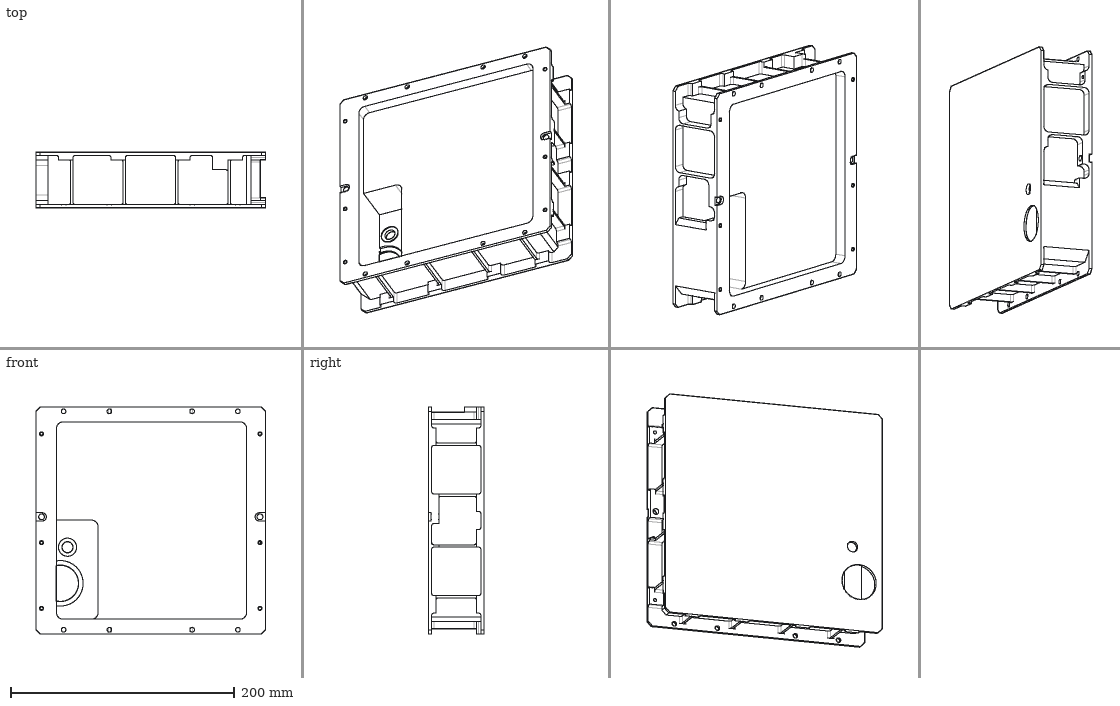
import cadquery as cq

LENGTH = 205.8
THICKNESS = 49.8
HEIGHT = 203.3
HALF_X = LENGTH / 2
HALF_Y = THICKNESS / 2
HALF_Z = HEIGHT / 2
CORNER_CHAMFER = 4.0
OUT_X = HALF_X + 10.3
OUT_Z = HALF_Z + 10.3

FLANGE = 2.9
FLANGE_Y = HALF_Y - FLANGE
PAD_Y = 18.1
PAD_REACH = 11.0
RIB = 2.0
HALF_RIB = RIB / 2
RIB_PITCH_X = 47.0
RIB_PITCH_Z = 45.5
RIB_X_INNER = RIB_PITCH_X / 2
RIB_X_OUTER = 3 * RIB_PITCH_X / 2
RIB_Z_INNER = RIB_PITCH_Z / 2
RIB_Z_OUTER = 3 * RIB_PITCH_Z / 2
RIB_SHIFT_X = -0.2
FULL_Y = (-FLANGE_Y, FLANGE_Y)
UNDER_PAD_Y = (-FLANGE_Y, PAD_Y)
BETWEEN_PADS_Y = (-PAD_Y, PAD_Y)

BAY_FLOOR_Z = 90.3
BAY_FLOOR_X = 90.0
BAY_RADIUS = 2.0
RIB_TOP_Z = 97.0
RIB_TOP_X = 98.2
BAY_CORNER_BEVEL = 4.1
RIGHT_PAD_REACH = 13.5

BLOCK_WIDTH = 13.8
BLOCK_Y = 9.3

RECESS_FLOOR_X = -92.0
RECESS_RADIUS = 5.0
UPPER_FRONT_PAD_Z = 82.3
SLOT_PAD_Y = -15.6
SLOT_PAD_Z = -2.7
LOWER_SHELF_Z = -15.6
LOWER_RECESS_Y = -12.5
LOWER_RECESS_Z = -19.5
RECESS_BEVEL = 5.1
BOTTOM_BEVEL_Z = -81.0

CAVITY_X = (-84.4, 85.8)
CAVITY_Z = (-88.3, 88.3)
CAVITY_DEPTH = 10.5
CAVITY_RADIUS = 6.0
DEEP_X_MAX = -47.1
DEEP_Z_MAX = 0.5
DEEP_FLOOR_Y = HALF_Y - 4.0

LARGE_PORT = (-80.9, -56.2)
LARGE_PORT_D = 32.3
LARGE_RING_D = 40.7
LARGE_RING_DEPTH = 2.0
SMALL_PORT = (-74.5, -23.9)
SMALL_PORT_D = 9.7
SMALL_RING_D = 16.3
SMALL_RING_DEPTH = 0.8

EDGE_HOLE_D = 4.1
EDGE_HOLE_X = (37.0, 78.0)
EDGE_HOLE_Z = 97.7
SIDE_X = 97.7
SIDE_HOLE_D = 2.7
SIDE_HOLE_MOUTH_D = 3.5
SIDE_HOLE_MOUTH_DEPTH = 0.5
SIDE_HOLE_Z = (-78.6, -19.8, 77.5)
SLOT_Z = 3.3
SLOT_WIDTH = 7.5
SLOT_DEPTH = 2.5
SLOT_CENTRE_X = 97.1
SLOT_HOLE_D = 5.1


def box(xs, ys, zs):
    """Box between the given (low, high) limits."""
    size = (xs[1] - xs[0], ys[1] - ys[0], zs[1] - zs[0])
    return cq.Workplane("XY").box(*size, centered=False).translate((xs[0], ys[0], zs[0]))


def rounded_box(xs, ys, zs, axis, radius):
    """Box with its four edges along the given axis rounded."""
    return box(xs, ys, zs).edges("|" + axis).fillet(radius)


def joined(solids):
    """Union of a list of solids."""
    total = solids[0]
    for solid in solids[1:]:
        total = total.union(solid)
    return total


def on_side(side, low, high):
    """Limits kept for side 1, mirrored about zero for side -1."""
    return (low, high) if side > 0 else (-high, -low)


def prism(points, ys):
    """Outline in X and Z extended between the given Y limits."""
    outline = cq.Workplane("XZ", origin=(0, ys[1], 0)).polyline(points).close()
    return outline.extrude(ys[1] - ys[0])


def cylinder(x, z, diameter, y_start, y_end):
    """Cylinder along Y."""
    return cq.Workplane("XZ", origin=(x, y_start, z)).circle(diameter / 2).extrude(y_start - y_end)


def edge_bays(has_block):
    """Five bays along the top side; pads sit beside the ribs and the end bays are open."""
    zs = (BAY_FLOOR_Z, OUT_Z)
    near = RIB_X_INNER + HALF_RIB
    far = RIB_X_OUTER - HALF_RIB
    end = RIB_X_OUTER + HALF_RIB
    block_start = far - BLOCK_WIDTH
    middle = RIB_X_INNER - HALF_RIB
    spans = [((-middle, middle), FULL_Y)]
    caps = []
    for side in (-1, 1):
        blocked = has_block and side > 0
        inner_end = block_start if blocked else far
        spans += [
            (on_side(side, near, inner_end), UNDER_PAD_Y),
            (on_side(side, near + PAD_REACH, inner_end), FULL_Y),
            (on_side(side, end, OUT_X), UNDER_PAD_Y),
            (on_side(side, end + PAD_REACH, OUT_X), FULL_Y),
        ]
        if blocked:
            spans.append(((near, far), (-FLANGE_Y, BLOCK_Y)))
        for rib in (RIB_X_INNER, RIB_X_OUTER):
            width = HALF_RIB + BAY_RADIUS
            caps.append(box(on_side(side, rib - width, rib + width), UNDER_PAD_Y, (RIB_TOP_Z, OUT_Z)))
    cap = joined(caps)
    if has_block:
        cap = cap.cut(box((block_start, far), (BLOCK_Y - BAY_RADIUS, HALF_Y), zs))
    bays = [rounded_box(xs, ys, zs, "Z", BAY_RADIUS) for xs, ys in spans]
    return joined(bays + [cap]).translate((RIB_SHIFT_X, 0, 0))


def right_bays():
    """Five bays along the +X side with pads on both flanges."""
    xs = (BAY_FLOOR_X, OUT_X)
    near = RIB_Z_INNER + HALF_RIB
    far = RIB_Z_OUTER - HALF_RIB
    end = RIB_Z_OUTER + HALF_RIB
    middle = RIB_Z_INNER - HALF_RIB
    rear_end = middle - RIGHT_PAD_REACH
    spans = [
        ((SLOT_PAD_Y, PAD_Y), (-middle, middle)),
        ((0, FLANGE_Y), (-rear_end, rear_end)),
        ((-FLANGE_Y, 0), (-middle, SLOT_PAD_Z)),
    ]
    caps = []
    for side in (-1, 1):
        spans += [
            (FULL_Y, on_side(side, near, far)),
            (BETWEEN_PADS_Y, on_side(side, end, OUT_Z)),
            (FULL_Y, on_side(side, end + RIGHT_PAD_REACH, OUT_Z)),
        ]
        for rib, ys in ((RIB_Z_INNER, (SLOT_PAD_Y, PAD_Y)), (RIB_Z_OUTER, BETWEEN_PADS_Y)):
            width = HALF_RIB + BAY_RADIUS
            caps.append(box((RIB_TOP_X, OUT_X), ys, on_side(side, rib - width, rib + width)))
    bays = [rounded_box(xs, ys, zs, "X", BAY_RADIUS) for ys, zs in spans]
    return joined(bays + caps)


def right_corner_bevel():
    """Bevel where the top bay floor meets the +X bay floor."""
    x, z = BAY_FLOOR_X, BAY_FLOOR_Z
    points = [(x - BAY_CORNER_BEVEL, z), (x, z), (x, z - BAY_CORNER_BEVEL)]
    return prism(points, FULL_Y)


def left_recesses():
    """Three recesses in the upper half of the -X side and a bevel at its bottom."""
    xs = (-OUT_X, RECESS_FLOOR_X)
    upper = RIB_Z_OUTER + HALF_RIB
    lower_top = RIB_Z_INNER - HALF_RIB
    spans = [
        (BETWEEN_PADS_Y, (upper, OUT_Z)),
        ((0, FLANGE_Y), (upper + PAD_REACH, OUT_Z)),
        ((-FLANGE_Y, 0), (UPPER_FRONT_PAD_Z, OUT_Z)),
        (FULL_Y, (RIB_Z_INNER + HALF_RIB, RIB_Z_OUTER - HALF_RIB)),
        ((SLOT_PAD_Y, PAD_Y), (LOWER_SHELF_Z, lower_top)),
        ((0, FLANGE_Y), (LOWER_SHELF_Z, lower_top - PAD_REACH)),
        ((-FLANGE_Y, 0), (LOWER_SHELF_Z, SLOT_PAD_Z)),
    ]
    recesses = [rounded_box(xs, ys, zs, "X", RECESS_RADIUS) for ys, zs in spans]
    foot_y = (LOWER_RECESS_Y, FLANGE_Y)
    recesses.append(box(xs, foot_y, (LOWER_RECESS_Z, 0)))
    foot_bevel = [
        (-HALF_X, LOWER_RECESS_Z - RECESS_BEVEL),
        (-HALF_X + RECESS_BEVEL, LOWER_RECESS_Z),
        (-HALF_X, LOWER_RECESS_Z),
    ]
    recesses.append(prism(foot_bevel, foot_y))
    bevel = BAY_FLOOR_Z + BOTTOM_BEVEL_Z
    bottom_bevel = [
        (-HALF_X, BOTTOM_BEVEL_Z),
        (-HALF_X + bevel, -BAY_FLOOR_Z),
        (-HALF_X, -BAY_FLOOR_Z),
    ]
    recesses.append(prism(bottom_bevel, FULL_Y))
    return joined(recesses)


def cavity():
    """Shallow main cavity with the deep pocket in its lower -X corner."""
    main = rounded_box(CAVITY_X, (-HALF_Y, -HALF_Y + CAVITY_DEPTH), CAVITY_Z, "Y", CAVITY_RADIUS)
    deep_x = (CAVITY_X[0], DEEP_X_MAX)
    deep_z = (CAVITY_Z[0], DEEP_Z_MAX)
    deep = box(deep_x, (-HALF_Y, DEEP_FLOOR_Y), deep_z)
    deep = deep.edges("|Y").edges(">X or <Z").fillet(CAVITY_RADIUS)
    return main.union(deep)


def ports():
    """Two ports through the deep floor; the large ring stops at the cavity wall."""
    large_ring = cylinder(*LARGE_PORT, LARGE_RING_D, DEEP_FLOOR_Y, DEEP_FLOOR_Y + LARGE_RING_DEPTH)
    large_ring = large_ring.intersect(box(CAVITY_X, (-HALF_Y, HALF_Y), CAVITY_Z))
    return joined([
        large_ring,
        cylinder(*LARGE_PORT, LARGE_PORT_D, DEEP_FLOOR_Y, HALF_Y),
        cylinder(*SMALL_PORT, SMALL_RING_D, DEEP_FLOOR_Y, DEEP_FLOOR_Y + SMALL_RING_DEPTH),
        cylinder(*SMALL_PORT, SMALL_PORT_D, DEEP_FLOOR_Y, HALF_Y),
    ])


def flange_holes():
    """Screw holes around the front flange and an edge slot with a hole on each side."""
    front = -HALF_Y
    slot_floor = front + SLOT_DEPTH
    slot_zs = (SLOT_Z - SLOT_WIDTH / 2, SLOT_Z + SLOT_WIDTH / 2)
    cuts = []
    for side in (-1, 1):
        for x in EDGE_HOLE_X:
            for z in (-EDGE_HOLE_Z, EDGE_HOLE_Z):
                cuts.append(cylinder(side * x, z, EDGE_HOLE_D, front, -FLANGE_Y))
        x = side * SIDE_X
        for z in SIDE_HOLE_Z:
            cuts.append(cylinder(x, z, SIDE_HOLE_D, front, -PAD_Y))
            cuts.append(cylinder(x, z, SIDE_HOLE_MOUTH_D, front, front + SIDE_HOLE_MOUTH_DEPTH))
        cuts.append(cylinder(x, SLOT_Z, SLOT_HOLE_D, front, SLOT_PAD_Y))
        cuts.append(cylinder(side * SLOT_CENTRE_X, SLOT_Z, SLOT_WIDTH, front, slot_floor))
        cuts.append(box(on_side(side, SLOT_CENTRE_X, OUT_X), (front, slot_floor), slot_zs))
    return joined(cuts)


body = box((-HALF_X, HALF_X), (-HALF_Y, HALF_Y), (-HALF_Z, HALF_Z))
body = body.edges("|Y").chamfer(CORNER_CHAMFER)
body = body.cut(edge_bays(has_block=True))
body = body.cut(edge_bays(has_block=False).mirror("XY"))
body = body.cut(right_bays())
body = body.cut(right_corner_bevel())
body = body.cut(right_corner_bevel().mirror("XY"))
body = body.cut(left_recesses())
body = body.cut(cavity())
body = body.cut(ports())
result = body.cut(flange_holes())